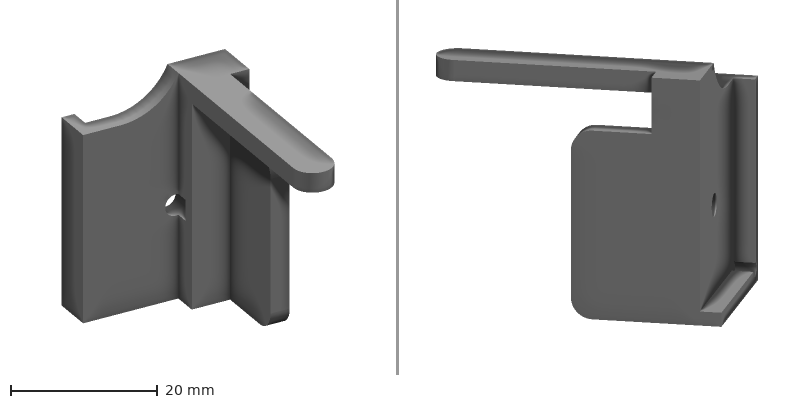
import cadquery as cq
import math

plate_thickness = 3.0
width = 23.89
height = 34.75
shoulder_height = 29.0
scoop_radius = 10.0

ledge_depth = 3.0
ledge_width = 2.0
relief_radius = 1.0

plate_face_x = ledge_depth
plate_back_x = ledge_depth + plate_thickness

arm_thickness = 3.0
arm_width = 6.0
arm_tip_x = 41.0
wing_thickness = 3.0
post_back_x = 9.75
arm_back_y = width - wing_thickness
arm_front_y = arm_back_y - arm_width

wing_length_x = 21.0
wing_height = 26.75
wing_corner_radius = 3.0

hole_diameter = 3.3
hole_y = 14.5
hole_z = 14.5
hole_end_x = 8.0


def box(x0, x1, y0, y1, z0, z1):
    """Axis-aligned block between two corners."""
    return cq.Workplane("XY").box(x1 - x0, y1 - y0, z1 - z0, centered=False).translate((x0, y0, z0))


def rod_along_x(x0, x1, y, z, radius):
    """Cylinder parallel to X."""
    return cq.Workplane("YZ", origin=(x0, y, z)).circle(radius).extrude(x1 - x0)


def make_plate():
    """Plate whose top edge drops to the shoulder through a concave arc tangent to it."""
    scoop_center_z = shoulder_height + scoop_radius
    scoop_run = math.sqrt(scoop_radius**2 - (scoop_center_z - height) ** 2)
    scoop_center_y = arm_front_y - scoop_run
    mid_angle = math.atan2(scoop_run, scoop_center_z - height) / 2
    arc_middle = (
        scoop_center_y + scoop_radius * math.sin(mid_angle),
        scoop_center_z - scoop_radius * math.cos(mid_angle),
    )
    return (
        cq.Workplane("YZ", origin=(plate_face_x, 0, 0))
        .moveTo(0, 0)
        .lineTo(width, 0)
        .lineTo(width, height)
        .lineTo(arm_front_y, height)
        .threePointArc(arc_middle, (scoop_center_y, shoulder_height))
        .lineTo(0, shoulder_height)
        .close()
        .extrude(plate_thickness)
    )


def make_ledges():
    """L-shaped rim with a round relief at its inner corner."""
    bottom = box(0, ledge_depth, 0, width, 0, ledge_width)
    front = box(0, ledge_depth, 0, ledge_width, 0, shoulder_height)
    relief = rod_along_x(0, ledge_depth, ledge_width, ledge_width, relief_radius)
    return bottom.union(front).cut(relief)


def make_post():
    return box(plate_back_x, post_back_x, arm_front_y, width, 0, height)


def make_arm():
    """Horizontal bar with a full-round free end."""
    tip_radius = arm_width / 2
    tip_center_x = arm_tip_x - tip_radius
    return (
        cq.Workplane("XY", origin=(0, 0, height - arm_thickness))
        .moveTo(plate_back_x, arm_front_y)
        .lineTo(tip_center_x, arm_front_y)
        .threePointArc((arm_tip_x, arm_front_y + tip_radius), (tip_center_x, arm_back_y))
        .lineTo(plate_back_x, arm_back_y)
        .close()
        .extrude(arm_thickness)
    )


def make_wing():
    wing = box(plate_back_x, wing_length_x, arm_back_y, width, 0, wing_height)
    return wing.edges("|Y and >X").fillet(wing_corner_radius)


def make_hole():
    return rod_along_x(plate_face_x, hole_end_x, hole_y, hole_z, hole_diameter / 2)


body = make_plate().union(make_ledges()).union(make_post()).union(make_arm()).union(make_wing())
result = body.cut(make_hole())